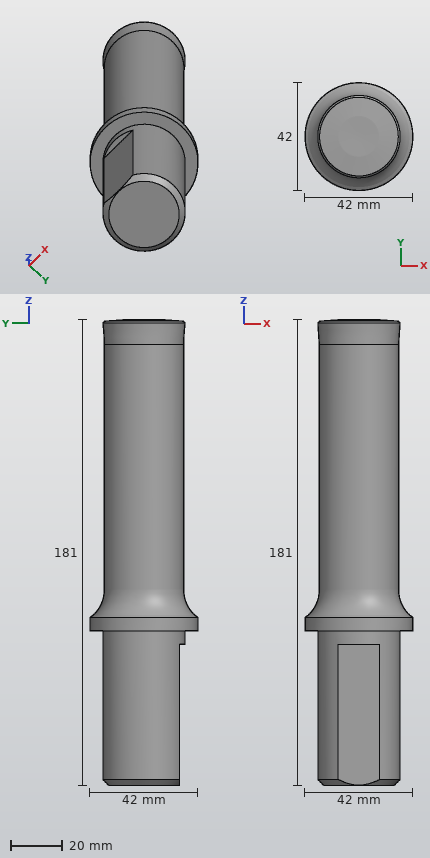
import cadquery as cq
import math

total_length = 181.0

shank_radius = 32.0 / 2
shank_length = 60.1
shank_chamfer = 2.4
flat_depth = 2.2
flat_top = 54.8

flange_radius = 42.0 / 2
flange_edge_z = 65.3
flare_bottom_z = 66.2
flare_bottom_radius = 19.7
flare_top_z = 76.0

neck_radius = 31.0 / 2
head_bottom_z = 171.4
head_radius = shank_radius
head_rim_z = 179.7
head_chamfer_width = 0.7
head_chamfer_height = 0.7
ridge_outer_radius = 8.0
ridge_inner_radius = 7.6
center_dip = 0.2


def flare_midpoint():
    """Point halfway along the flare arc, which starts tangent to the neck."""
    rise = flare_top_z - flare_bottom_z
    spread = flare_bottom_radius - neck_radius
    arc_radius = (rise**2 + spread**2) / (2 * spread)
    half_angle = math.asin(rise / arc_radius) / 2
    return (
        neck_radius + arc_radius * (1 - math.cos(half_angle)),
        flare_top_z - arc_radius * math.sin(half_angle),
    )


def make_holder():
    """Turned shank, flange, flare and neck, with the clamping flat cut away."""
    profile = (
        cq.Workplane("XZ")
        .moveTo(0, 0)
        .lineTo(shank_radius - shank_chamfer, 0)
        .lineTo(shank_radius, shank_chamfer)
        .lineTo(shank_radius, shank_length)
        .lineTo(flange_radius, shank_length)
        .lineTo(flange_radius, flange_edge_z)
        .lineTo(flare_bottom_radius, flare_bottom_z)
        .threePointArc(flare_midpoint(), (neck_radius, flare_top_z))
        .lineTo(neck_radius, head_bottom_z)
        .lineTo(0, head_bottom_z)
        .close()
    )
    turned = profile.revolve(360, (0, 0), (0, 1))
    flat_cutter = cq.Workplane("XY").box(
        2 * shank_radius, shank_radius, flat_top, centered=(True, False, False)
    )
    flat_y = flat_depth - shank_radius
    return turned.cut(flat_cutter.translate((0, flat_y - shank_radius, 0)))


def make_head():
    """Back-tapered head whose end face rises to a ring-shaped ridge and dips at the center."""
    profile = (
        cq.Workplane("XZ")
        .moveTo(0, head_bottom_z)
        .lineTo(neck_radius, head_bottom_z)
        .lineTo(head_radius, head_rim_z)
        .lineTo(head_radius - head_chamfer_width, head_rim_z + head_chamfer_height)
        .lineTo(ridge_outer_radius, total_length)
        .lineTo(ridge_inner_radius, total_length)
        .lineTo(0, total_length - center_dip)
        .close()
    )
    return profile.revolve(360, (0, 0), (0, 1))


holder = make_holder()
head = make_head()

result = cq.Compound.makeCompound([holder.val(), head.val()])